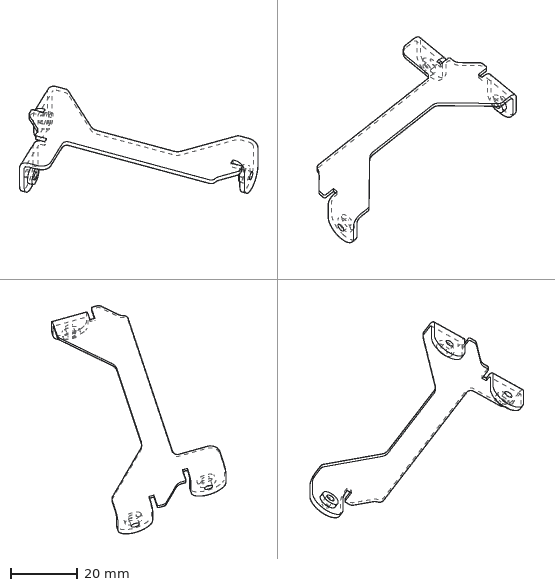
import cadquery as cq
import math

width = 68.6
depth = 35.74
height = 15.0
thickness = 1.5

bend_inner_radius = 1.5
bend_outer_radius = bend_inner_radius + thickness
tab_width = 11.0
tab_end_radius = tab_width / 2
hole_drop = height - tab_end_radius
hole_diameter = 2.5
boss_diameter = 5.5
boss_height = 1.5

notch_width = 1.5
notch_depth = 3.75
notch_corner_radius = 0.5

left_x = -width / 2
right_x = width / 2
front_tab_offset = 5.5
front_tab_x = left_x + front_tab_offset
front_tab_length = 9.0
front_tab_right_x = front_tab_x + front_tab_length
front_tab_rear_y = -depth + tab_width
front_notch_rear_y = front_tab_rear_y + notch_width
rear_notch_front_y = -tab_width - notch_width
bar_rear_y = -14.0
bar_front_y = -22.1
arm_top_width = 6.5
arm_foot_offset = arm_top_width - bar_rear_y
side_corner_y = -15.0
flank_end_y = side_corner_y - front_tab_offset

slope_angle = math.radians(45)

arm_top_radius = 1.5
arm_foot_radius = 3.0
side_corner_radius = 1.5
flank_radius = 3.0
front_tab_corner_radius = 3.0
front_tab_root_radius = 1.5
bar_corner_radius = 1.5


def right_flank_curve():
    """Points of the S-curve joining the bar's front edge to the right 45-degree flank."""
    hollow_x = right_x - front_tab_offset + flank_radius
    hollow_y = flank_end_y - flank_radius * math.tan(slope_angle / 2)
    corner_y = bar_front_y + bar_corner_radius
    center_distance = flank_radius + bar_corner_radius
    corner_x = hollow_x - math.sqrt(center_distance**2 - (corner_y - hollow_y) ** 2)
    contact_angle = math.atan2(hollow_y - corner_y, hollow_x - corner_x)
    corner_mid_angle = (contact_angle - math.pi / 2) / 2
    hollow_start_angle = contact_angle + math.pi
    hollow_end_angle = math.pi - slope_angle
    hollow_mid_angle = (hollow_start_angle + hollow_end_angle) / 2

    def on_corner(angle):
        return (
            corner_x + bar_corner_radius * math.cos(angle),
            corner_y + bar_corner_radius * math.sin(angle),
        )

    def on_hollow(angle):
        return (
            hollow_x + flank_radius * math.cos(angle),
            hollow_y + flank_radius * math.sin(angle),
        )

    start = on_corner(-math.pi / 2)
    corner_arc = (on_corner(corner_mid_angle), on_corner(contact_angle))
    hollow_arc = (on_hollow(hollow_mid_angle), on_hollow(hollow_end_angle))
    return start, corner_arc, hollow_arc


def make_plate():
    """Flat plate, stopping at the bend lines of the three tabs."""
    curve_start, corner_arc, hollow_arc = right_flank_curve()
    left_arm_top = (left_x + arm_top_width, 0)
    left_arm_foot = (left_x + arm_foot_offset, bar_rear_y)
    right_arm_foot = (right_x - arm_foot_offset, bar_rear_y)
    right_arm_top = (right_x - arm_top_width, 0)
    right_notch_corner = (right_x, rear_notch_front_y)
    right_side_corner = (right_x, side_corner_y)
    front_tab_root = (front_tab_right_x, bar_front_y)
    front_tab_corner = (front_tab_right_x, -depth)
    front_notch_corner = (front_tab_x, front_notch_rear_y)
    flank_end = (front_tab_x, flank_end_y)
    left_side_corner = (left_x, side_corner_y)
    left_notch_corner = (left_x, rear_notch_front_y)

    plate = (
        cq.Workplane("XY")
        .moveTo(*curve_start)
        .threePointArc(*corner_arc)
        .threePointArc(*hollow_arc)
        .lineTo(*right_side_corner)
        .lineTo(*right_notch_corner)
        .lineTo(right_x - notch_depth, rear_notch_front_y)
        .lineTo(right_x - notch_depth, -tab_width)
        .lineTo(right_x - bend_outer_radius, -tab_width)
        .lineTo(right_x - bend_outer_radius, 0)
        .lineTo(*right_arm_top)
        .lineTo(*right_arm_foot)
        .lineTo(*left_arm_foot)
        .lineTo(*left_arm_top)
        .lineTo(left_x + bend_outer_radius, 0)
        .lineTo(left_x + bend_outer_radius, -tab_width)
        .lineTo(left_x + notch_depth, -tab_width)
        .lineTo(left_x + notch_depth, rear_notch_front_y)
        .lineTo(*left_notch_corner)
        .lineTo(*left_side_corner)
        .lineTo(*flank_end)
        .lineTo(*front_notch_corner)
        .lineTo(front_tab_x + notch_depth, front_notch_rear_y)
        .lineTo(front_tab_x + notch_depth, front_tab_rear_y)
        .lineTo(front_tab_x + bend_outer_radius, front_tab_rear_y)
        .lineTo(front_tab_x + bend_outer_radius, -depth)
        .lineTo(*front_tab_corner)
        .lineTo(*front_tab_root)
        .close()
        .extrude(-thickness)
    )

    rounded_corners = [
        (arm_top_radius, [left_arm_top, right_arm_top]),
        (arm_foot_radius, [left_arm_foot, right_arm_foot]),
        (side_corner_radius, [left_side_corner, right_side_corner]),
        (notch_corner_radius, [left_notch_corner, right_notch_corner, front_notch_corner]),
        (flank_radius, [flank_end]),
        (front_tab_corner_radius, [front_tab_corner]),
        (front_tab_root_radius, [front_tab_root]),
    ]
    for radius, corners in rounded_corners:
        for x, y in corners:
            corner_edge = cq.selectors.NearestToPointSelector((x, y, -thickness / 2))
            plate = plate.edges("|Z").edges(corner_edge).fillet(radius)
    return plate


def make_tab(outer_x, rear_y, inward):
    """Bend and hanging tab with a drilled boss; inward is +1 or -1 along X."""
    center_y = rear_y - tab_width / 2
    inner_x = outer_x + inward * thickness
    bend_x = outer_x + inward * bend_outer_radius
    bend_z = -bend_outer_radius
    outer_mid_reach = bend_outer_radius * math.cos(math.pi / 4)
    inner_mid_reach = bend_inner_radius * math.cos(math.pi / 4)

    strip = (
        cq.Workplane("XZ", origin=(0, rear_y, 0))
        .moveTo(bend_x, 0)
        .threePointArc((bend_x - inward * outer_mid_reach, bend_z + outer_mid_reach), (outer_x, bend_z))
        .lineTo(outer_x, -height)
        .lineTo(inner_x, -height)
        .lineTo(inner_x, bend_z)
        .threePointArc((bend_x - inward * inner_mid_reach, bend_z + inner_mid_reach), (bend_x, -thickness))
        .close()
        .extrude(tab_width)
    )

    across = cq.Workplane("YZ", origin=(min(outer_x, bend_x), center_y, -hole_drop))
    rounded_end = across.circle(tab_end_radius).extrude(bend_outer_radius)
    upper_part = across.center(0, hole_drop / 2).rect(tab_width, hole_drop).extrude(bend_outer_radius)
    tab = strip.intersect(upper_part.union(rounded_end))

    axis_start = cq.Workplane("YZ", origin=(outer_x, center_y, -hole_drop))
    boss_reach = inward * (thickness + boss_height)
    boss = axis_start.circle(boss_diameter / 2).extrude(boss_reach)
    hole = axis_start.circle(hole_diameter / 2).extrude(boss_reach)
    return tab.union(boss).cut(hole)


result = make_plate()
for outer_x, rear_y, inward in [
    (left_x, 0, 1),
    (right_x, 0, -1),
    (front_tab_x, front_tab_rear_y, 1),
]:
    result = result.union(make_tab(outer_x, rear_y, inward))